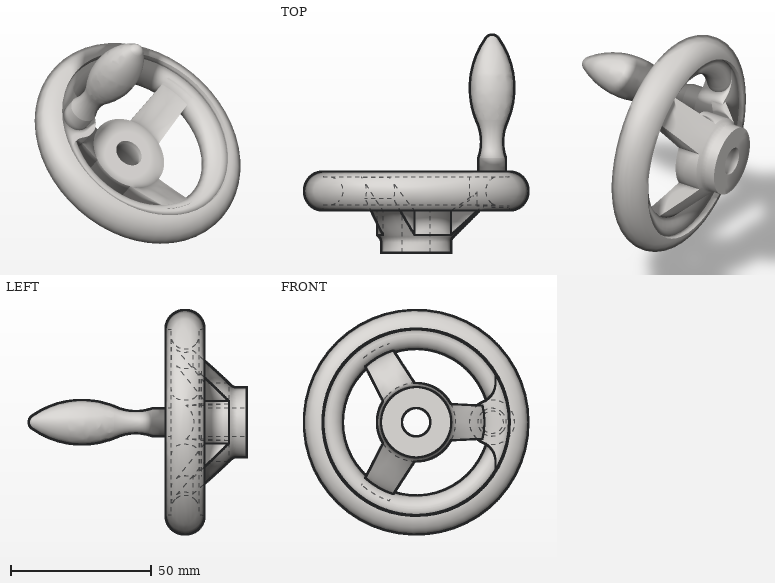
import cadquery as cq
import math


rim_radius = 40.0
rim_thickness = 14.0
rim_front = 15.0
grip_radius = rim_thickness / 2
rim_mid = rim_front + grip_radius
grip_inner_radius = rim_radius - grip_radius
flare_width = 0.35
flare_depth = 1.2
core_half_thickness = 5.0
core_inner_radius = 26.0
core_round_radius = core_inner_radius + core_half_thickness
core_front = rim_mid - core_half_thickness
core_back = rim_mid + core_half_thickness

bore_diameter = 10.0
hub_face_radius = 12.5
hub_body_radius = 14.0
hub_back = 15.0
hub_collar_length = 3.9
collar_blend_radius = 2.5

spoke_count = 3
spoke_half_width_at_hub = 6.5
spoke_taper_angle = 3
spoke_half_width_taper = math.tan(math.radians(spoke_taper_angle))
spoke_back_slope = 0.77

handle_offset = 27.0
boss_radius = 8.0
boss_fillet = 7.0
boss_side_x = 28.2
boss_step = 0.25
boss_front = core_front - boss_step

shank_radius = 5.0
shank_end = 33.6
neck_radius = 4.0
neck_y = 40.0
neck_end_radius = 5.7
neck_end = 47.1
bulge_radius = 8.0
bulge_y = 58.5
tip_radius = 2.4
tip_start = 76.3
handle_end = 77.65

cone_angle = math.radians(45)


def collar_blend_point(angle):
    """Return (radius, y) on the concave collar blend, at an angle turned from the collar side."""
    radius = hub_face_radius + collar_blend_radius * (1 - math.cos(angle))
    y = hub_collar_length + collar_blend_radius * math.sin(angle)
    return radius, y


blend_end_radius, blend_end_y = collar_blend_point(cone_angle)
cone_offset = blend_end_y - blend_end_radius
hub_cone_end = hub_body_radius + cone_offset


def turned(section):
    """Revolve a closed (radius, y) section about the Y axis."""
    return section.close().revolve(360, (0, 0, 0), (0, 1, 0))


def make_grip():
    rim_back = rim_front + rim_thickness
    mouth_radius = grip_inner_radius + flare_width
    section = (
        cq.Workplane("XY")
        .moveTo(grip_inner_radius, rim_front + flare_depth)
        .lineTo(mouth_radius, rim_front)
        .threePointArc((rim_radius, rim_mid), (mouth_radius, rim_back))
        .lineTo(grip_inner_radius, rim_back - flare_depth)
    )
    return turned(section)


def make_core():
    section = (
        cq.Workplane("XY")
        .moveTo(grip_inner_radius, core_front)
        .lineTo(core_round_radius, core_front)
        .threePointArc((core_inner_radius, rim_mid), (core_round_radius, core_back))
        .lineTo(grip_inner_radius, core_back)
    )
    return turned(section)


def make_hub():
    section = (
        cq.Workplane("XY")
        .lineTo(hub_face_radius, 0)
        .lineTo(hub_face_radius, hub_collar_length)
        .threePointArc(collar_blend_point(cone_angle / 2), (blend_end_radius, blend_end_y))
        .lineTo(hub_body_radius, hub_cone_end)
        .lineTo(hub_body_radius, hub_back)
        .lineTo(0, hub_back)
    )
    return turned(section)


def extrude_along_y(outline, start, length):
    """Extrude an outline drawn on an XZ plane from y = start toward +Y."""
    return outline.extrude(-length).translate((0, start, 0))


def make_spokes():
    end_radius = rim_mid - cone_offset
    end_back = hub_back + spoke_back_slope * (end_radius - hub_body_radius)
    section = (
        cq.Workplane("XY")
        .moveTo(blend_end_radius, blend_end_y)
        .lineTo(end_radius, rim_mid)
        .lineTo(end_radius, end_back)
        .lineTo(hub_body_radius, hub_back)
        .lineTo(blend_end_radius, hub_back)
    )
    dish = turned(section)

    root_half_width = spoke_half_width_at_hub + spoke_half_width_taper * hub_face_radius
    end_half_width = root_half_width - spoke_half_width_taper * rim_radius
    outline = cq.Workplane("XZ").polyline([
        (0, -root_half_width),
        (rim_radius, -end_half_width),
        (rim_radius, end_half_width),
        (0, root_half_width),
    ]).close()
    blade = extrude_along_y(outline, 0, rim_front + rim_thickness)
    spoke = dish.intersect(blade)

    spokes = spoke
    for index in range(1, spoke_count):
        angle = index * 360 / spoke_count
        spokes = spokes.union(spoke.rotate((0, 0, 0), (0, 1, 0), angle))
    return spokes


def make_handle_boss():
    fillet_x = boss_side_x - boss_fillet
    centre_distance = boss_radius + boss_fillet
    fillet_z = math.sqrt(centre_distance**2 - (handle_offset - fillet_x)**2)
    boss_share = boss_radius / centre_distance
    touch_x = handle_offset + (fillet_x - handle_offset) * boss_share
    touch_z = fillet_z * boss_share
    touch_angle = math.atan2(touch_z - fillet_z, touch_x - fillet_x)
    mid_x = fillet_x + boss_fillet * math.cos(touch_angle / 2)
    mid_z = fillet_z + boss_fillet * math.sin(touch_angle / 2)
    corner_z = math.sqrt(grip_inner_radius**2 - boss_side_x**2)

    outline = (
        cq.Workplane("XZ")
        .moveTo(boss_side_x, corner_z)
        .lineTo(boss_side_x, fillet_z)
        .threePointArc((mid_x, mid_z), (touch_x, touch_z))
        .threePointArc((handle_offset - boss_radius, 0), (touch_x, -touch_z))
        .threePointArc((mid_x, -mid_z), (boss_side_x, -fillet_z))
        .lineTo(boss_side_x, -corner_z)
        .threePointArc((grip_inner_radius, 0), (boss_side_x, corner_z))
        .close()
    )
    return extrude_along_y(outline, boss_front, core_back - boss_front)


def make_handle():
    cap_height = handle_end - tip_start
    cap_radius = (tip_radius**2 + cap_height**2) / (2 * cap_height)
    half_angle = math.asin(tip_radius / cap_radius) / 2
    tip_mid = (
        cap_radius * math.sin(half_angle),
        handle_end - cap_radius * (1 - math.cos(half_angle)),
    )
    section = (
        cq.Workplane("XY")
        .moveTo(0, rim_mid)
        .lineTo(shank_radius, rim_mid)
        .lineTo(shank_radius, shank_end)
        .threePointArc((neck_radius, neck_y), (neck_end_radius, neck_end))
        .threePointArc((bulge_radius, bulge_y), (tip_radius, tip_start))
        .threePointArc(tip_mid, (0, handle_end))
    )
    return turned(section).translate((handle_offset, 0, 0))


wheel = make_grip().union(make_core()).union(make_hub()).union(make_spokes())
wheel = wheel.union(make_handle_boss()).union(make_handle())
bore = extrude_along_y(cq.Workplane("XZ").circle(bore_diameter / 2), 0, hub_back)
result = wheel.cut(bore)